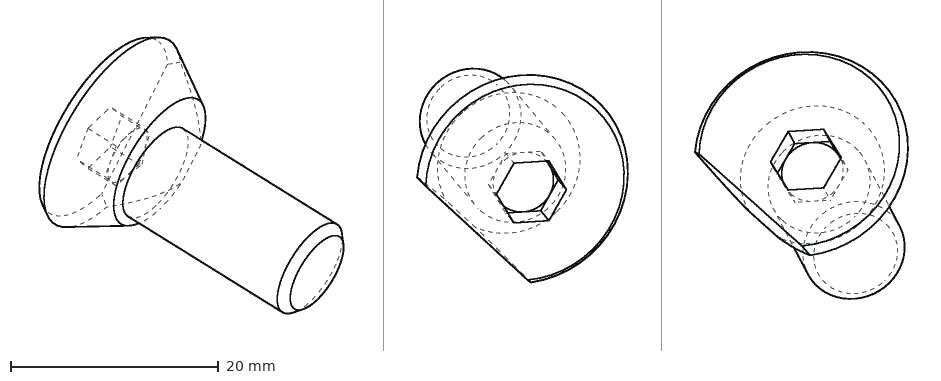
import cadquery as cq
import math

total_length = 27.0
head_length = 7.0
head_radius = 10.45
head_offset_y = 0.65
head_offset_z = 1.0
rim_length = 1.1
taper_angle = 30.0
flat_distance = 6.5
flat_angle = -45.0

shank_radius = 5.0
tip_chamfer = 0.9

hex_across_flats = 6.0
hex_depth = 3.5
drill_point_angle = 118.0

slope = math.tan(math.radians(taper_angle))
face_radius = head_radius - rim_length * slope
back_radius = head_radius - (head_length - rim_length) * slope


def revolved(profile):
    """Turn an (X, radius) outline about the X axis."""
    return cq.Workplane("XY").polyline(profile).close().revolve(360, (0, 0, 0), (1, 0, 0))


def make_head():
    """Eccentric double-tapered disc with one flat cut along its length."""
    disc = revolved([
        (0, 0),
        (0, face_radius),
        (rim_length, head_radius),
        (head_length, back_radius),
        (head_length, 0),
    ]).translate((0, head_offset_y, head_offset_z))
    cutter_size = 4 * head_radius
    cutter = (
        cq.Workplane("XY")
        .box(cutter_size, cutter_size, cutter_size)
        .translate((0, flat_distance + cutter_size / 2, 0))
        .rotate((0, 0, 0), (1, 0, 0), flat_angle)
    )
    return disc.cut(cutter)


def make_shank():
    """Cylinder from the back of the head to a chamfered tip."""
    return revolved([
        (head_length, 0),
        (head_length, shank_radius),
        (total_length - tip_chamfer, shank_radius),
        (total_length, shank_radius - tip_chamfer),
        (total_length, 0),
    ])


def make_socket():
    """Hexagonal socket with corners along Y and a conical drilled bottom."""
    hex_across_corners = hex_across_flats / math.cos(math.radians(30))
    hexagon = cq.Workplane("YZ").polygon(6, hex_across_corners).extrude(hex_depth)
    drill_radius = hex_across_flats / 2
    point_depth = drill_radius / math.tan(math.radians(drill_point_angle / 2))
    drill_point = revolved([
        (hex_depth, 0),
        (hex_depth, drill_radius),
        (hex_depth + point_depth, 0),
    ])
    return hexagon.union(drill_point)


result = make_head().union(make_shank()).cut(make_socket())